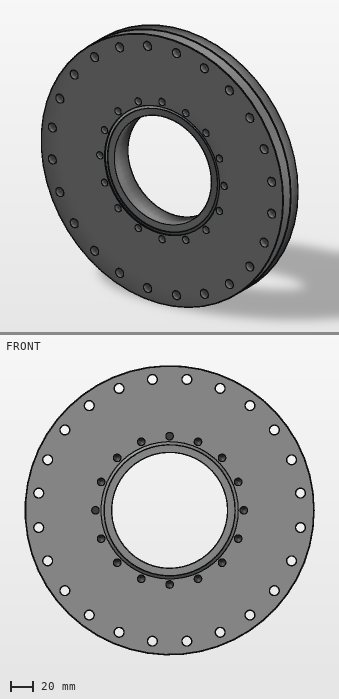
import math
import cadquery as cq

outer_diameter = 254.0
thickness = 24.6
bore_diameter = 101.6
edge_chamfer = 0.5
front_y = -thickness / 2

rim_groove_width = 1.0
rim_groove_depth = 0.5

recess_diameter = 120.6
recess_depth = 1.3
knife_edge_diameter = 115.3
knife_edge_depth = 0.6
knife_root_diameter = 114.8
knife_outer_depth = 1.6

back_recess_diameter = 222.2
back_recess_depth = 1.3

clamp_hole_count = 24
clamp_hole_diameter = 8.4
clamp_circle_diameter = 231.8

tapped_hole_count = 16
tapped_hole_diameter = 6.65
tapped_circle_diameter = 130.2
tapped_hole_depth = 16.0
drill_point_angle = 118.0
flat_hole_angles = (180, 270)


def disc_body():
    """Disc with its bore, chamfered edges and rim groove, revolved about Y."""
    outer_radius = outer_diameter / 2
    bore_radius = bore_diameter / 2
    back_y = front_y + thickness
    half_groove = rim_groove_width / 2
    profile = [
        (bore_radius, front_y),
        (outer_radius - edge_chamfer, front_y),
        (outer_radius, front_y + edge_chamfer),
        (outer_radius, -half_groove),
        (outer_radius - rim_groove_depth, 0),
        (outer_radius, half_groove),
        (outer_radius, back_y - edge_chamfer),
        (outer_radius - edge_chamfer, back_y),
        (bore_radius, back_y),
    ]
    return cq.Workplane("XY").polyline(profile).close().revolve(360, (0, 0), (0, 1))


def front_recess():
    """Cutting tool for the front recess, revolved about Y.

    From the recess wall a cone rises inwards to the knife edge, which drops steeply to a flat floor.
    """
    recess_radius = recess_diameter / 2
    floor_y = front_y + recess_depth
    profile = [
        (0, front_y),
        (recess_radius, front_y),
        (recess_radius, front_y + knife_outer_depth),
        (knife_edge_diameter / 2, front_y + knife_edge_depth),
        (knife_root_diameter / 2, floor_y),
        (0, floor_y),
    ]
    return cq.Workplane("XY").polyline(profile).close().revolve(360, (0, 0), (0, 1))


def back_recess():
    """Cutting tool for the shallow flat recess in the back face."""
    start = cq.Workplane("XZ", origin=(0, front_y + thickness, 0))
    return start.circle(back_recess_diameter / 2).extrude(back_recess_depth)


def place_on_circle(tool, circle_diameter, angle):
    """Cutting tool moved onto a hole circle, at an angle turned about Y from +X towards -Z."""
    return tool.translate((circle_diameter / 2, 0, 0)).rotate((0, 0, 0), (0, 1, 0), angle)


def clamp_hole():
    """Plain cylinder through the whole thickness."""
    start = cq.Workplane("XZ", origin=(0, front_y, 0))
    return start.circle(clamp_hole_diameter / 2).extrude(-thickness)


def tapped_hole(pointed):
    """Blind hole with a conical or a flat end, revolved about Y."""
    radius = tapped_hole_diameter / 2
    point_length = radius / math.tan(math.radians(drill_point_angle / 2)) if pointed else 0
    shoulder_y = front_y + tapped_hole_depth
    profile = [(0, front_y), (radius, front_y), (radius, shoulder_y)]
    end = (0, shoulder_y + point_length)
    return cq.Workplane("XY").polyline(profile + [end]).close().revolve(360, (0, 0), (0, 1))


def drill_clamp_holes(body):
    """Body with the evenly spaced clamp holes, half a pitch away from the X and Z axes."""
    pitch = 360 / clamp_hole_count
    for index in range(clamp_hole_count):
        angle = (index + 0.5) * pitch
        body = body.cut(place_on_circle(clamp_hole(), clamp_circle_diameter, angle))
    return body


def drill_tapped_holes(body):
    """Body with the evenly spaced blind holes, the first on the X axis."""
    pitch = 360 / tapped_hole_count
    for index in range(tapped_hole_count):
        angle = index * pitch
        tool = tapped_hole(pointed=angle not in flat_hole_angles)
        body = body.cut(place_on_circle(tool, tapped_circle_diameter, angle))
    return body


body = disc_body().cut(front_recess()).cut(back_recess())
result = drill_tapped_holes(drill_clamp_holes(body))